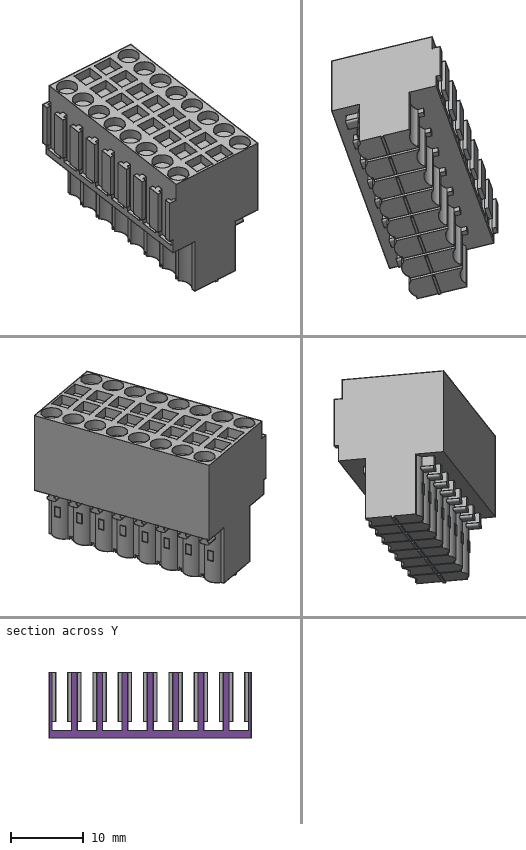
import cadquery as cq


pole_count = 8
length = 27.9
total_depth = 15.6
total_height = 20.8
pole_pitch = length / pole_count

housing_depth = 14.45
housing_height = 11.83
ledge_depth = 15.0
ledge_height = 1.05
housing_bottom = total_height - housing_height

bar_top_drop = 2.75
bar_height = 6.8
bar_head_width = 1.87
bar_stem_width = 0.85
bar_top = total_height - bar_top_drop

opening_depth = 1.4
opening_shift = 0.08
wire_hole_diameter = 2.9
wire_hole_rows = (-1.85, -12.75)
release_width = 2.57
release_length = 2.8
release_rows = (-5.5, -9.07)

strip_height = 0.22
shell_bottom = strip_height
shell_height = housing_bottom - shell_bottom
shell_back = -3.38
shell_front = -11.47
end_wall_back = -4.0
end_wall_front = -11.15
end_wall_width = 0.59

column_radius = 1.7
rib_width = 0.67
scallop_radius = 1.75
scallop_depth = 0.7

gusset_front = -12.25
gusset_height = 0.98
notch_width = 0.35
notch_height = 0.7
strip_center = -7.25
strip_width = 0.4
key_back = -1.7
key_height = 1.98
key_thickness = 0.86
key_bead_radius = 0.28
bump_height = 1.53
bump_bottom = 3.65
bump_width = 0.85
bump_rise = 0.1
back_overlap = 0.28

pole_centers = [(i + 0.5) * pole_pitch for i in range(pole_count)]
pole_borders = [i * pole_pitch for i in range(pole_count + 1)]
inner_borders = pole_borders[1:-1]


def block(x_range, y_range, z_range):
    """Axis-aligned box between pairs of coordinates, given in either order."""
    sizes = [abs(b - a) for a, b in (x_range, y_range, z_range)]
    corner = (min(x_range), min(y_range), min(z_range))
    return cq.Workplane("XY").box(*sizes, centered=False).translate(corner)


def centered_block(x_center, width, y_range, z_range):
    """Box of a given width about an X position, trimmed to the length of the part."""
    left = max(x_center - width / 2, 0)
    right = min(x_center + width / 2, length)
    return block((left, right), y_range, z_range)


def make_housing():
    body = block((0, length), (0, -housing_depth), (housing_bottom, total_height))
    ledge_range = (housing_bottom, housing_bottom + ledge_height)
    body = body.union(block((0, length), (0, -ledge_depth), ledge_range))
    for x in pole_borders:
        stem = centered_block(x, bar_stem_width, (-housing_depth, -ledge_depth), (housing_bottom, bar_top))
        head = centered_block(x, bar_head_width, (-ledge_depth, -total_depth), (bar_top - bar_height, bar_top))
        body = body.union(stem).union(head)
    return body


def cut_openings(body):
    opening_centers = [x + opening_shift for x in pole_centers]
    top = cq.Workplane("XY", origin=(0, 0, total_height))
    wire_points = [(x, y) for y in wire_hole_rows for x in opening_centers]
    release_points = [(x, y) for y in release_rows for x in opening_centers]
    wire_holes = top.pushPoints(wire_points).circle(wire_hole_diameter / 2).extrude(-opening_depth)
    releases = top.pushPoints(release_points).rect(release_width, release_length).extrude(-opening_depth)
    return body.cut(wire_holes).cut(releases)


def pole_cylinders(y_center, radius):
    """Upright cylinders over the height of the shell, one per pole, merged where they overlap."""
    cylinders = cq.Workplane("XY")
    for x in pole_centers:
        base = cq.Workplane("XY", origin=(x, y_center, shell_bottom))
        cylinders = cylinders.union(base.circle(radius).extrude(shell_height))
    return cylinders


def make_shell():
    z_range = (shell_bottom, housing_bottom)
    shell = block((0, length), (end_wall_back, shell_front), z_range)
    shell = shell.union(pole_cylinders(shell_back - column_radius, column_radius))
    shell = shell.cut(pole_cylinders(shell_front + scallop_depth - scallop_radius, scallop_radius))
    for x in (pole_borders[0], pole_borders[-1]):
        relief = centered_block(x, 2 * end_wall_width, (end_wall_front, shell_front), z_range)
        shell = shell.cut(relief)
    return shell


def make_gussets():
    """Gussets joining the front ribs to the underside of the housing."""
    gussets = cq.Workplane("XY")
    gusset_range = (housing_bottom - gusset_height, housing_bottom)
    for x in inner_borders:
        gussets = gussets.union(centered_block(x, rib_width, (shell_front, gusset_front), gusset_range))
    return gussets


def make_back_details():
    """A beaded key and a low latch bump on the back of each pole."""
    details = cq.Workplane("XY")
    key_bottom = housing_bottom - key_height
    root = shell_back - back_overlap
    for x in pole_centers:
        key = centered_block(x, key_thickness, (root, key_back), (key_bottom, housing_bottom))
        details = details.union(key)
        for side in (-1, 1):
            bead_x = x + side * key_thickness / 2
            bead_start = cq.Workplane("XZ", origin=(bead_x, key_back, key_bottom + key_bead_radius))
            details = details.union(bead_start.circle(key_bead_radius).extrude(key_back - root))
        bump_range = (bump_bottom, bump_bottom + bump_height)
        details = details.union(centered_block(x, bump_width, (root, shell_back + bump_rise), bump_range))
    return details


def add_bottom_strip(body):
    """Low strip along the bottom of the shell, interrupted between the poles."""
    strip_range = (strip_center - strip_width / 2, strip_center + strip_width / 2)
    body = body.union(block((0, length), strip_range, (0, shell_bottom + strip_height)))
    for x in inner_borders:
        body = body.cut(centered_block(x, rib_width, strip_range, (0, shell_bottom)))
        body = body.cut(centered_block(x, notch_width, (0, -total_depth), (0, notch_height)))
    return body


result = cut_openings(make_housing())
result = result.union(make_shell()).union(make_gussets()).union(make_back_details())
result = add_bottom_strip(result)